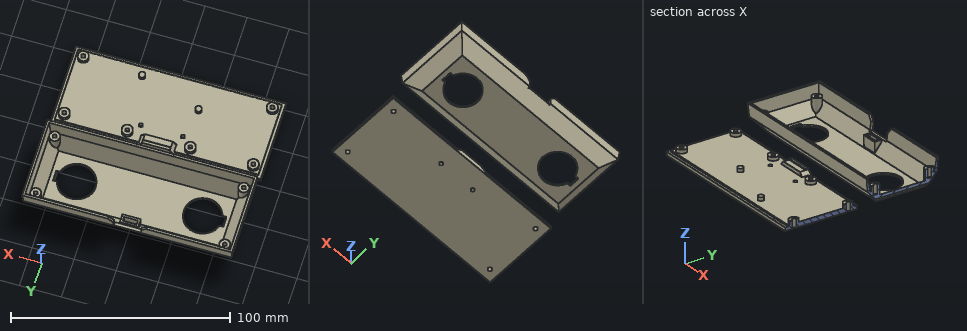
import cadquery as cq

LENGTH = 100.0
WIDTH = 40.0
GAP = 5.0
HOUSING_Y = (WIDTH + GAP) / 2
LID_Y = -HOUSING_Y

EDGE_TO_SCREW = 5.0
SCREW_X = LENGTH / 2 - EDGE_TO_SCREW
SCREW_Y = WIDTH / 2 - EDGE_TO_SCREW
CORNERS = [(sx * SCREW_X, sy * SCREW_Y) for sx in (-1, 1) for sy in (-1, 1)]
SCREW_HOLE_DIAMETER = 2.0
PILOT_HOLE_DIAMETER = 1.8

OPENING_MOUTH = 18.2
OPENING_THROAT = 13.2
OPENING_TAPER_HEIGHT = 2.8

HOUSING_HEIGHT = 14.0
BREAK_Z = 7.2
BREAK_INSET = 0.5
BASE_INSET = 6.8
FLOOR_THICKNESS = 1.0
RIM_THICKNESS = 1.2
INNER_BREAK_Z = 7.3
INNER_BREAK_INSET = 2.2
FLOOR_INSET = 7.6
OPENING_DEPTH = 3.2
SILL_Z = 6.8

WINDOW_X = 30.0
WINDOW_DIAMETER = 18.0
KEY_WIDTH = 5.2
KEY_REACH = 10.5

HOUSING_BOSS_DIAMETER = 5.0
HOUSING_BOSS_TOP = 9.7
HOUSING_BOSS_HOLE_DEPTH = 5.0

SOCKET_LENGTH = 8.8
SOCKET_BACK_INSET = 3.2
SOCKET_FRONT_INSET = 7.3
SOCKET_TOP = 7.1
SOCKET_HOLE_LENGTH = 6.6
SOCKET_HOLE_WIDTH = 2.0

PLATE_THICKNESS = 2.0
STEP_INSET = 1.5
STEP_TOP = 2.8
LID_BOSS_DIAMETER = 5.2
LID_BOSS_TOP = 4.7
BOARD_BOSS_X = 15.0
PIN_HOLE_X = 10.0
PIN_HOLE_Y = 10.0
PIN_HOLE_DIAMETER = 1.8
POST_DIAMETER = 3.0
POSTS = [(-13.0, -4.6), (16.6, -13.7)]
TAB_DEPTH = 5.2
RIDGE_FRONT = 2.0
TAB_BACK_DRAFT = 0.4
RIDGE_TOP = 5.3


def frustum(lower_inset, lower_z, upper_inset, upper_z):
    """Rectangular frustum between two levels, each inset from the footprint."""
    return (
        cq.Workplane("XY", origin=(0, 0, lower_z))
        .rect(LENGTH - 2 * lower_inset, WIDTH - 2 * lower_inset)
        .workplane(offset=upper_z - lower_z)
        .rect(LENGTH - 2 * upper_inset, WIDTH - 2 * upper_inset)
        .loft(ruled=True)
    )


def block(x_size, y_min, y_max, z_min, z_max):
    """Box centred on x = 0 and given by its y and z limits."""
    return cq.Workplane("XY").box(
        x_size, y_max - y_min, z_max - z_min, centered=(True, False, False)
    ).translate((0, y_min, z_min))


def cylinders(points, diameter, z_min, z_max):
    """Upright cylinders at the given points."""
    return (
        cq.Workplane("XY", origin=(0, 0, z_min))
        .pushPoints(points)
        .circle(diameter / 2)
        .extrude(z_max - z_min)
    )


def flared_prism(joint_z, throat_z, y_min, y_max):
    """Trapezoid of the cable opening, from mouth to throat, swept along y."""
    return (
        cq.Workplane("XZ", origin=(0, y_max, 0))
        .polyline([
            (-OPENING_MOUTH / 2, joint_z),
            (OPENING_MOUTH / 2, joint_z),
            (OPENING_THROAT / 2, throat_z),
            (-OPENING_THROAT / 2, throat_z),
        ])
        .close()
        .extrude(y_max - y_min)
    )


def window(side):
    """Round window with a key slot that points to the near end of the housing."""
    disc = cylinders([(side * WINDOW_X, 0)], WINDOW_DIAMETER, 0, FLOOR_THICKNESS)
    slot = block(KEY_REACH, -KEY_WIDTH / 2, KEY_WIDTH / 2, 0, FLOOR_THICKNESS)
    return disc.union(slot.translate((side * (WINDOW_X + KEY_REACH / 2), 0, 0)))


def make_housing():
    back = WIDTH / 2
    outside = frustum(BASE_INSET, 0, BREAK_INSET, BREAK_Z).union(
        frustum(BREAK_INSET, BREAK_Z, 0, HOUSING_HEIGHT)
    )
    cavity = frustum(FLOOR_INSET, FLOOR_THICKNESS, INNER_BREAK_INSET, INNER_BREAK_Z).union(
        frustum(INNER_BREAK_INSET, INNER_BREAK_Z, RIM_THICKNESS, HOUSING_HEIGHT)
    )
    shell = outside.cut(cavity)

    throat_z = HOUSING_HEIGHT - OPENING_TAPER_HEIGHT
    opening_front = back - OPENING_DEPTH
    shell = shell.cut(flared_prism(HOUSING_HEIGHT, throat_z, opening_front, back))
    shell = shell.cut(block(OPENING_THROAT, opening_front, back, SILL_Z, throat_z))

    bosses = cylinders(CORNERS, HOUSING_BOSS_DIAMETER, 0, HOUSING_BOSS_TOP).intersect(outside)
    shell = shell.union(bosses)
    hole_bottom = HOUSING_BOSS_TOP - HOUSING_BOSS_HOLE_DEPTH
    shell = shell.cut(cylinders(CORNERS, PILOT_HOLE_DIAMETER, hole_bottom, HOUSING_BOSS_TOP))

    socket_front = back - SOCKET_FRONT_INSET
    socket_back = back - SOCKET_BACK_INSET
    socket_middle = (socket_front + socket_back) / 2
    socket = block(SOCKET_LENGTH, socket_front, socket_back, 0, SOCKET_TOP)
    socket_hole = block(
        SOCKET_HOLE_LENGTH,
        socket_middle - SOCKET_HOLE_WIDTH / 2,
        socket_middle + SOCKET_HOLE_WIDTH / 2,
        0,
        SOCKET_TOP,
    )
    shell = shell.union(socket.cut(socket_hole).intersect(outside))

    for side in (-1, 1):
        shell = shell.cut(window(side))
    return shell.translate((0, HOUSING_Y, 0))


def make_lid():
    back = WIDTH / 2
    lid = frustum(0, 0, 0, PLATE_THICKNESS)
    lid = lid.union(frustum(STEP_INSET, PLATE_THICKNESS, STEP_INSET, STEP_TOP))

    tab_top = PLATE_THICKNESS + OPENING_TAPER_HEIGHT
    tab = flared_prism(PLATE_THICKNESS, tab_top, back - TAB_DEPTH, back)
    tab = tab.union(block(OPENING_THROAT, back - RIDGE_FRONT, back, tab_top, RIDGE_TOP))
    back_slope = frustum(0, PLATE_THICKNESS, TAB_BACK_DRAFT, RIDGE_TOP)
    lid = lid.union(tab.intersect(back_slope))

    board_points = [(side * BOARD_BOSS_X, SCREW_Y) for side in (-1, 1)]
    lid = lid.union(cylinders(CORNERS + board_points, LID_BOSS_DIAMETER, STEP_TOP, LID_BOSS_TOP))
    lid = lid.union(cylinders(POSTS, POST_DIAMETER, STEP_TOP, LID_BOSS_TOP))

    lid = lid.cut(cylinders(CORNERS, SCREW_HOLE_DIAMETER, 0, LID_BOSS_TOP))
    lid = lid.cut(cylinders(board_points, PILOT_HOLE_DIAMETER, PLATE_THICKNESS, LID_BOSS_TOP))
    pin_holes = [(side * PIN_HOLE_X, PIN_HOLE_Y) for side in (-1, 1)]
    lid = lid.cut(cylinders(pin_holes, PIN_HOLE_DIAMETER, 0, STEP_TOP))
    return lid.translate((0, LID_Y, 0))


housing = make_housing()
lid = make_lid()

result = cq.Compound.makeCompound([housing.val(), lid.val()])